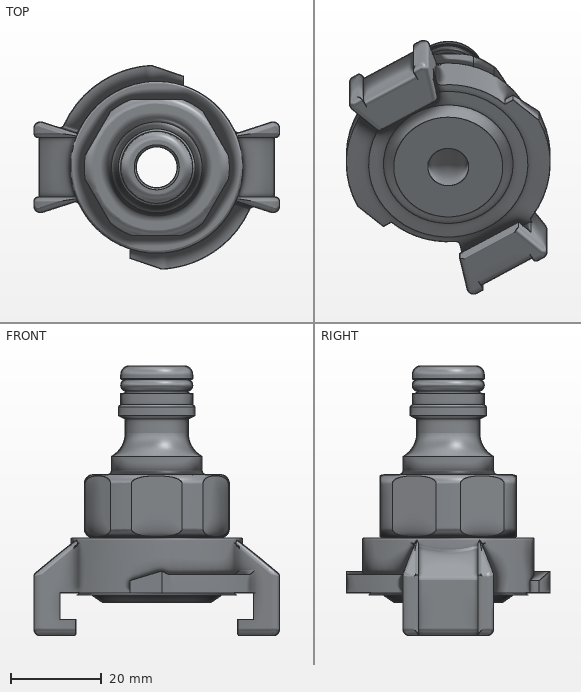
import cadquery as cq
import math

total_height = 59.5
claw_span = 54.2
roof_round = 1.0
edge_round = 1.5
junction_round = 0.95
clearance = 0.6

bore_radius = 9.0 / 2
bore_chamfer = 0.5
tip_radius = 15.9 / 2
tip_round = 1.95
tip_chamfer = 0.2
o_ring_top_z = 56.5
o_ring_radius = 1.3
groove_foot_radius = 7.4
groove_bottom_z = 53.4
stop_radius = 16.9 / 2
stop_cone_top_z = 51.0
stop_top_z = 50.45
stop_bottom_z = 48.55
neck_radius = 13.9 / 2
neck_top_z = 47.8
flare_top_z = 44.6
flare_bottom_z = 39.5
shoulder_radius = 20.0 / 2
shoulder_round = 0.95

hex_top_z = 35.5
hex_flats = 30.0
hex_turned_radius = 32.0 / 2
hex_round = 2.0

collar_top_z = 21.6
collar_bottom_z = 9.45
collar_radius = 37.9 / 2
collar_round = 0.5
lip_top_radius = 17.1
lip_radius = 17.55
lip_bottom_z = 8.9
seal_top_radius = 14.3
seal_bottom_radius = 12.0
seal_bottom_z = 7.4

flange_top_z = 13.5
flange_overlap = 1.2
flange_start_x = -5.95
flange_start_y = -20.05
flange_nose_x = 1.15
flange_nose_y = -44.9 / 2
flange_radius = math.hypot(flange_nose_x, flange_nose_y)
flange_end_angle = -17.0
ramp_low_z = 12.15
ramp_high_z = 14.05
ramp_high_x = 0.3
crest_x = 1.1
crest_z = 14.15
crest_end_x = 1.85
crest_end_z = 13.9
ramp_foot_x = 2.3
ramp_foot_z = 13.6
ramp_foot_round = 1.3
ramp_end_x = 2.9

claw_root_x = 15.45
claw_tip_x = claw_span / 2
claw_half_width = 10.0
claw_side_angle = 18.0
hook_end_x = 17.85
hook_wall_x = 21.3
hook_top_z = 3.6
hook_end_round = 0.5
roof_low_z = 13.5
roof_slope = 0.83
channel_half_width = 6.55
channel_depth = 1.2
channel_roof_drop = 1.8


def make_turned_body():
    """Nipple, collar and underside as one turned solid."""
    flare_width = shoulder_radius - neck_radius
    flare_height = flare_top_z - flare_bottom_z
    flare_arc = (flare_width ** 2 + flare_height ** 2) / (2 * flare_width)
    o_ring_center_r = tip_radius - o_ring_radius
    o_ring_middle_z = o_ring_top_z - o_ring_radius
    o_ring_bottom_z = o_ring_top_z - 2 * o_ring_radius
    profile = (
        cq.Workplane("XZ")
        .moveTo(0, total_height)
        .lineTo(tip_radius - tip_round, total_height)
        .radiusArc((tip_radius, total_height - tip_round), tip_round)
        .lineTo(tip_radius, o_ring_top_z + tip_chamfer)
        .lineTo(tip_radius - tip_chamfer, o_ring_top_z)
        .lineTo(o_ring_center_r, o_ring_top_z)
        .threePointArc((tip_radius, o_ring_middle_z), (o_ring_center_r, o_ring_bottom_z))
        .lineTo(groove_foot_radius, groove_bottom_z)
        .lineTo(tip_radius, groove_bottom_z)
        .lineTo(tip_radius, stop_cone_top_z)
        .lineTo(stop_radius, stop_top_z)
        .lineTo(stop_radius, stop_bottom_z)
        .lineTo(neck_radius, neck_top_z)
        .lineTo(neck_radius, flare_top_z)
        .radiusArc((shoulder_radius, flare_bottom_z), -flare_arc)
        .lineTo(shoulder_radius, hex_top_z + shoulder_round)
        .radiusArc((shoulder_radius + shoulder_round, hex_top_z), -shoulder_round)
        .lineTo(shoulder_radius + shoulder_round, collar_top_z)
        .lineTo(collar_radius - collar_round, collar_top_z)
        .radiusArc((collar_radius, collar_top_z - collar_round), collar_round)
        .lineTo(collar_radius, collar_bottom_z)
        .lineTo(lip_top_radius, collar_bottom_z)
        .lineTo(lip_radius, lip_bottom_z)
        .lineTo(seal_top_radius, lip_bottom_z)
        .lineTo(seal_bottom_radius, seal_bottom_z)
        .lineTo(0, seal_bottom_z)
        .close()
    )
    return profile.revolve(360, (0, 0, 0), (0, 1, 0)).rotate((0, 0, 0), (0, 0, 1), 90)


def make_hexagon():
    """Hexagon whose corners are turned down and rounded at both ends."""
    height = hex_top_z - collar_top_z
    corner_diameter = hex_flats / math.cos(math.radians(30))
    base = cq.Workplane("XY", origin=(0, 0, collar_top_z))
    turned = base.circle(hex_turned_radius).extrude(height).edges("%CIRCLE").fillet(hex_round)
    return base.polygon(6, corner_diameter).extrude(height).intersect(turned)


def make_flange():
    """Flange on the -Y side, ending in a ramped nose."""
    end_angle = math.radians(flange_end_angle)
    plan = (
        cq.Workplane("XY", origin=(0, 0, collar_bottom_z))
        .moveTo(0, 0)
        .lineTo(flange_start_x, 0)
        .lineTo(flange_start_x, flange_start_y)
        .lineTo(flange_nose_x, flange_nose_y)
        .radiusArc(
            (flange_radius * math.cos(end_angle), flange_radius * math.sin(end_angle)),
            -flange_radius,
        )
        .close()
        .extrude(collar_top_z - collar_bottom_z)
    )
    ramp = (
        cq.Workplane("XZ")
        .moveTo(flange_start_x, collar_bottom_z)
        .lineTo(flange_start_x, ramp_low_z)
        .lineTo(ramp_high_x, ramp_high_z)
        .threePointArc((crest_x, crest_z), (crest_end_x, crest_end_z))
        .lineTo(ramp_foot_x, ramp_foot_z)
        .radiusArc((ramp_end_x, flange_top_z), -ramp_foot_round)
        .lineTo(claw_tip_x, flange_top_z)
        .lineTo(claw_tip_x, collar_bottom_z)
        .close()
        .extrude(flange_radius + clearance)
    )
    core = cq.Workplane("XY").circle(collar_radius - flange_overlap).extrude(total_height)
    return plan.intersect(ramp).cut(core)


def roof_z(x):
    """Height of the sloping claw roof at distance x from the axis."""
    return roof_low_z + roof_slope * (claw_tip_x - x)


def make_claw_profile():
    """Wide block with the sloping roof of a claw."""
    return (
        cq.Workplane("XZ")
        .polyline([
            (claw_root_x, 0),
            (claw_tip_x, 0),
            (claw_tip_x, roof_low_z),
            (claw_root_x, roof_z(claw_root_x)),
        ])
        .close()
        .extrude(2 * claw_half_width, both=True)
    )


def make_claw_wedge():
    """Tall prism on the plan of a claw, which widens toward its sharp tip."""
    side = math.radians(claw_side_angle)
    tip_y = claw_half_width + edge_round * (1 / math.cos(side) - 1 + math.tan(side))
    root_y = tip_y - (claw_tip_x - claw_root_x) * math.tan(side)
    return (
        cq.Workplane("XY")
        .polyline([(claw_root_x, root_y), (claw_tip_x, tip_y), (claw_tip_x, -tip_y), (claw_root_x, -root_y)])
        .close()
        .extrude(total_height)
    )


def make_junction():
    """Concave roundings where a claw side meets the collar and the flange."""
    below = cq.Workplane("XY").box(2 * claw_span, 2 * claw_span, 2 * collar_bottom_z)
    collar = cq.Workplane("XY").circle(collar_radius).extrude(total_height)
    collar = collar.rotate((0, 0, 0), (0, 0, 1), 90)
    sharp = collar.union(make_claw_wedge()).cut(below).union(make_flange())
    corners = sharp.newObject([])
    for side in (-1, 1):
        corner_region = cq.selectors.BoxSelector(
            (claw_root_x, side * channel_half_width, collar_bottom_z + clearance),
            (hook_wall_x, side * claw_half_width, total_height),
        )
        corners = corners.add(sharp.edges(corner_region))
    roof_drop = roof_round / math.cos(math.atan(roof_slope))
    below_roof = make_claw_profile().translate((0, 0, -roof_drop))
    return corners.fillet(junction_round).cut(sharp).intersect(below_roof)


def make_claw_hull():
    """Claw on the +X side with rounded outer edges, without its channel."""
    hull = make_claw_profile().intersect(make_claw_wedge())
    hull = hull.edges("|Z and >X").fillet(edge_round)
    hull = hull.faces("<Z").edges("not <X").fillet(edge_round)
    return hull.faces(">Z").edges("not <X").fillet(roof_round)


def make_rail_block():
    """Wide block whose channel leaves the inner faces of the two claw rails."""
    web_x = claw_tip_x - channel_depth
    web_bend_z = roof_z(web_x) - channel_roof_drop
    far = claw_tip_x + clearance
    channel = (
        cq.Workplane("XZ")
        .moveTo(far, -clearance)
        .lineTo(web_x - edge_round, -clearance)
        .lineTo(web_x - edge_round, 0)
        .radiusArc((web_x, edge_round), -edge_round)
        .lineTo(web_x, web_bend_z)
        .lineTo(claw_root_x, roof_z(claw_root_x) - channel_roof_drop)
        .lineTo(claw_root_x, total_height)
        .lineTo(far, total_height)
        .close()
        .extrude(channel_half_width, both=True)
    )
    bend = cq.selectors.NearestToPointSelector((web_x, 0, web_bend_z))
    block = make_claw_profile().cut(channel).edges(bend).fillet(roof_round)
    middle_x = (claw_root_x + claw_tip_x) / 2
    rail_edges = block.newObject([])
    for y in (-channel_half_width, channel_half_width):
        for point in ((claw_tip_x, y, roof_low_z / 2), (middle_x, y, roof_z(middle_x))):
            rail_edges = rail_edges.add(block.edges(cq.selectors.NearestToPointSelector(point)))
    return rail_edges.fillet(roof_round)


def make_claw():
    """Hooked claw on the +X side, cut off flush with the rounded collar edge."""
    hook_slot = (
        cq.Workplane("XZ")
        .moveTo(claw_root_x - clearance, -clearance)
        .lineTo(hook_end_x + hook_end_round, -clearance)
        .lineTo(hook_end_x + hook_end_round, 0)
        .radiusArc((hook_end_x, hook_end_round), hook_end_round)
        .lineTo(hook_end_x, hook_top_z)
        .lineTo(hook_wall_x, hook_top_z)
        .lineTo(hook_wall_x, collar_bottom_z)
        .lineTo(claw_root_x - clearance, collar_bottom_z)
        .close()
        .extrude(2 * claw_half_width, both=True)
    )
    above_collar = (
        cq.Workplane("XY", origin=(0, 0, collar_top_z - collar_round))
        .circle(collar_radius)
        .extrude(total_height)
    )
    return make_claw_hull().intersect(make_rail_block()).cut(hook_slot).cut(above_collar)


def half_turn_pair(part):
    """The two placements of a part, half a turn apart about the Z axis."""
    return [part.rotate((0, 0, 0), (0, 0, 1), turn) for turn in (0, 180)]


body = make_turned_body().union(make_hexagon())
for part in half_turn_pair(make_flange()) + half_turn_pair(make_claw()):
    body = body.union(part)

for side in (-1, 1):
    channel_end = (side * collar_radius, 0, roof_z(collar_radius) - channel_roof_drop)
    body = body.edges(cq.selectors.NearestToPointSelector(channel_end)).fillet(junction_round)

for part in half_turn_pair(make_junction()):
    body = body.union(part)

bore = cq.Workplane("XY").circle(bore_radius).extrude(total_height)
body = body.cut(bore)
bore_mouth = body.faces(">Z").edges(cq.selectors.RadiusNthSelector(0))
result = bore_mouth.chamfer(bore_chamfer)